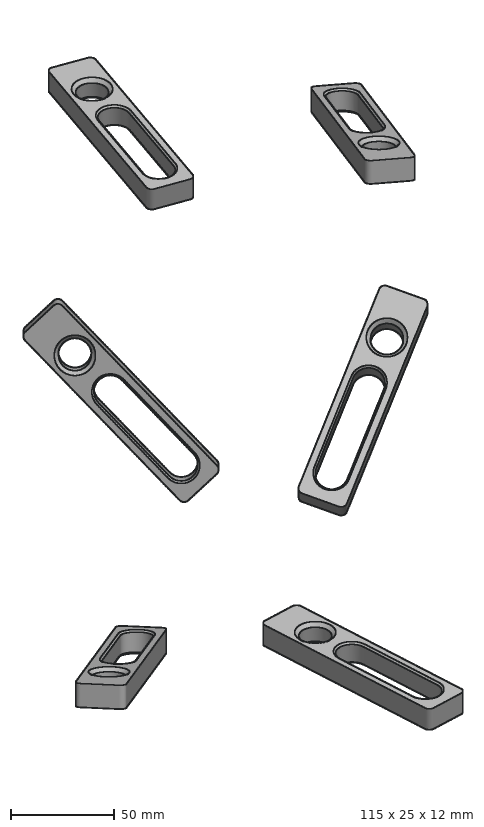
import cadquery as cq

LENGTH = 115.0
WIDTH = 25.0
THICKNESS = 12.0
CORNER_RADIUS = 3.0

BORE_WIDTH = 16.0
HOLE_X = 25.0
HOLE_CHAMFER = 2.0

SLOT_START_X = 50.0
SLOT_END_X = 100.0
SLOT_CHAMFER = 1.0

CHAMFER_ANGLE = 45.0


def make_bar():
    """Flat bar with rounded vertical corners."""
    bar = cq.Workplane("XY").box(LENGTH, WIDTH, THICKNESS, centered=(False, True, False))
    return bar.edges("|Z").fillet(CORNER_RADIUS)


def make_cutter(start_x, end_x, chamfer):
    """Through opening, chamfered on both faces; round when both ends coincide."""
    center_x = (start_x + end_x) / 2
    straight_length = end_x - start_x
    rim_width = BORE_WIDTH + 2 * chamfer

    def sketch_outline(z, width):
        plane = cq.Workplane("XY", origin=(center_x, 0, z))
        if straight_length == 0:
            return plane.circle(width / 2)
        return plane.slot2D(straight_length + width, width)

    bore = sketch_outline(0, BORE_WIDTH).extrude(THICKNESS)
    bottom_rim = sketch_outline(0, rim_width).extrude(chamfer, taper=CHAMFER_ANGLE)
    top_rim = sketch_outline(THICKNESS, rim_width).extrude(-chamfer, taper=CHAMFER_ANGLE)
    return bore.union(bottom_rim).union(top_rim)


hole = make_cutter(HOLE_X, HOLE_X, HOLE_CHAMFER)
slot = make_cutter(SLOT_START_X, SLOT_END_X, SLOT_CHAMFER)

result = make_bar().cut(hole).cut(slot)